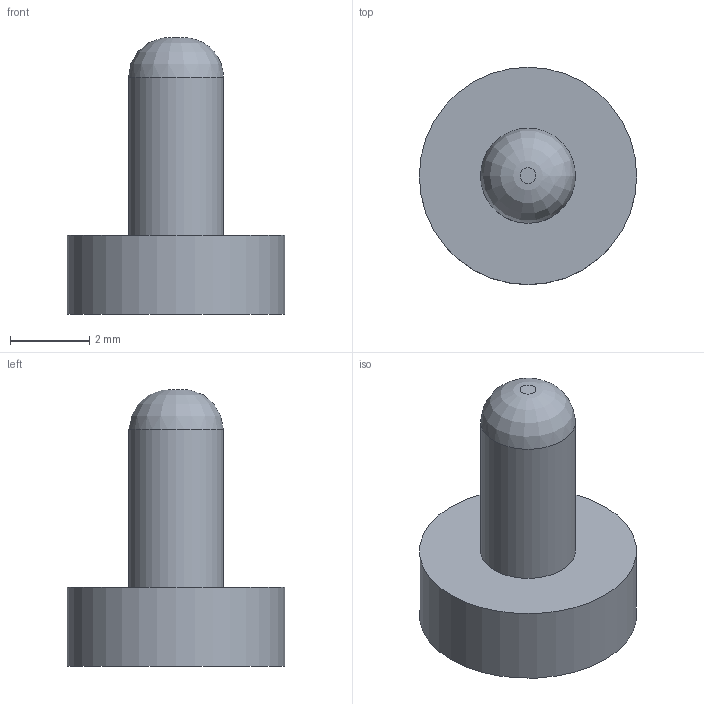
import cadquery as cq

head_diameter = 5.5
head_height = 2.0
pin_diameter = 2.4
total_height = 7.0
tip_radius = 1.0

pin_length = total_height - head_height


def make_head():
    """Flat disc that forms the base, resting on Z = 0."""
    return cq.Workplane("XY").circle(head_diameter / 2).extrude(head_height)


def make_pin():
    """Round pin standing on the head, with a rounded tip."""
    pin = (
        cq.Workplane("XY")
        .workplane(offset=head_height)
        .circle(pin_diameter / 2)
        .extrude(pin_length)
    )
    return pin.faces(">Z").edges().fillet(tip_radius)


result = make_head().union(make_pin())